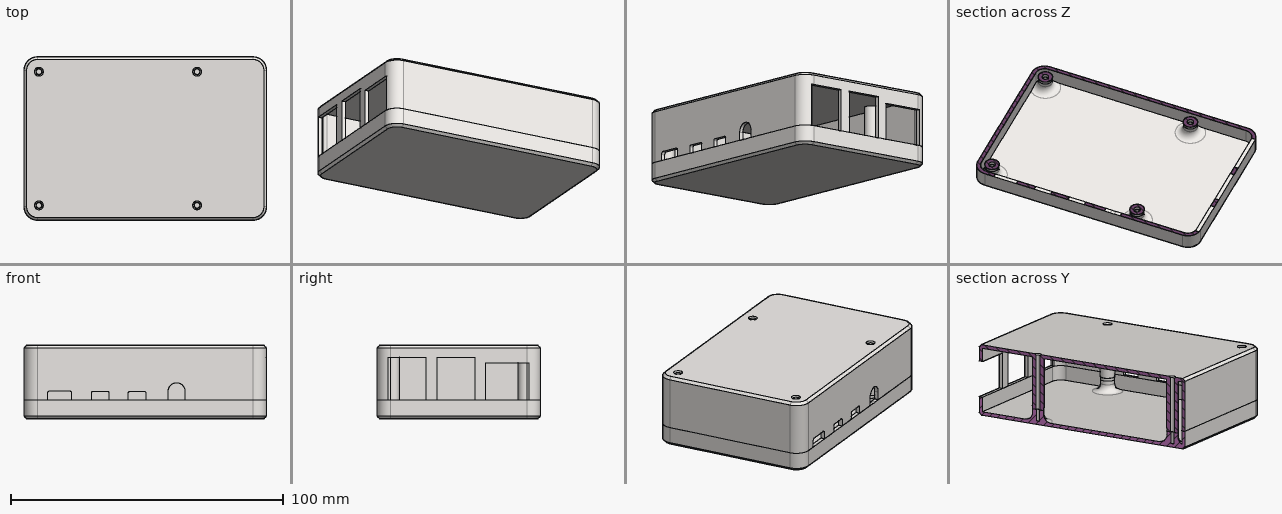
import math

import cadquery as cq

length = 89.0
width = 60.0
height = 27.0
wall = 1.5
corner_radius = 5.0
edge_chamfer = 1.0
seam_z = 7.0

inner_length = length - 2 * wall
inner_width = width - 2 * wall
inner_radius = corner_radius - wall
inner_left_x = -inner_length / 2
inner_front_y = -inner_width / 2

base_pillar_diameter = 5.2
base_pillar_top_z = 5.9
base_hole_diameter = 2.0
flare_radius = 3.0
lid_pillar_diameter = 5.45
lid_neck_diameter = 5.2
lid_hole_diameter = 2.25
countersink_diameter = 3.25
countersink_angle = 90.0
hole_inset = 4.0
hole_pitch_x = 58.0
hole_pitch_y = 49.0
hole_left_x = inner_left_x + hole_inset
hole_points = [
    (x, y)
    for x in (hole_left_x, hole_left_x + hole_pitch_x)
    for y in (-hole_pitch_y / 2, hole_pitch_y / 2)
]

front_ports = [
    (11.6, 8.9, 3.3, 1.0),
    (26.5, 6.5, 3.0, 0.5),
    (40.0, 6.5, 3.0, 0.5),
]

jack_offset = 54.5
jack_diameter = 6.3
jack_axis_rise = 3.05
jack_axis_z = seam_z + jack_axis_rise
jack_x = inner_left_x + jack_offset

end_ports = [
    (9.5, 14.0, 15.5),
    (27.5, 14.0, 15.5),
    (46.25, 16.0, 13.5),
]


def rounded_block(size_x, size_y, radius, bottom_z, top_z):
    """Upright block with rounded vertical corners, centred on the Z axis."""
    block = cq.Workplane("XY").workplane(offset=bottom_z).rect(size_x, size_y).extrude(top_z - bottom_z)
    return block.edges("|Z").fillet(radius)


def cylinders(diameter, bottom_z, top_z):
    """One upright cylinder at each screw position."""
    plane = cq.Workplane("XY").workplane(offset=bottom_z).pushPoints(hole_points)
    return plane.circle(diameter / 2).extrude(top_z - bottom_z)


def front_port(offset, port_width, port_height, radius):
    """Cutter through the -Y wall, flat at the seam and rounded at its top corners."""
    cutter = cq.Workplane("XY").box(port_width, 2 * wall, port_height, centered=(True, True, False))
    cutter = cutter.edges("|Y and >Z").fillet(radius)
    return cutter.translate((inner_left_x + offset, -width / 2, seam_z))


def jack_bore():
    """Round bore through the -Y wall for the audio jack."""
    plane = cq.Workplane("XZ", origin=(jack_x, -width / 2 + wall, jack_axis_z))
    return plane.circle(jack_diameter / 2).extrude(wall)


def jack_slot():
    """Straight-sided opening between the jack bore's axis and the seam."""
    slot = cq.Workplane("XY").box(jack_diameter, wall, jack_axis_z - seam_z, centered=(True, False, False))
    return slot.translate((jack_x, -width / 2, seam_z))


def base_pillar(x, y):
    """Pillar on the floor with a concave flare at its foot."""
    radius = base_pillar_diameter / 2
    rim = radius + flare_radius
    flare_mid = flare_radius * (1 - math.sqrt(0.5))
    profile = (
        cq.Workplane("XZ")
        .moveTo(0, wall)
        .lineTo(rim, wall)
        .threePointArc((radius + flare_mid, wall + flare_mid), (radius, wall + flare_radius))
        .lineTo(radius, base_pillar_top_z)
        .lineTo(0, base_pillar_top_z)
        .close()
    )
    return profile.revolve(360, (0, 0), (0, 1)).translate((x, y, 0))


def end_port(offset, port_width, port_height):
    """Rectangular cutter through the +X wall, standing on the seam."""
    cutter = cq.Workplane("XY").box(2 * wall, port_width, port_height, centered=(True, True, False))
    return cutter.translate((length / 2, inner_front_y + offset, seam_z))


def make_base():
    """Shallow tray with four flared pillars, each with a blind screw hole."""
    tray = rounded_block(length, width, corner_radius, 0, seam_z).faces("<Z").chamfer(edge_chamfer)
    cavity = rounded_block(inner_length, inner_width, inner_radius, wall, seam_z)
    tray = tray.cut(cavity).cut(jack_bore())
    for x, y in hole_points:
        tray = tray.union(base_pillar(x, y).intersect(cavity))
    return tray.cut(cylinders(base_hole_diameter, wall, base_pillar_top_z))


def make_lid():
    """Deep cover with four hollow pillars that stand on the base pillars."""
    cover = rounded_block(length, width, corner_radius, seam_z, height).faces(">Z").chamfer(edge_chamfer)
    cover = cover.cut(rounded_block(inner_length, inner_width, inner_radius, seam_z, height - wall))
    cover = cover.cut(jack_bore()).cut(jack_slot())
    for port in front_ports:
        cover = cover.cut(front_port(*port))
    for port in end_ports:
        cover = cover.cut(end_port(*port))
    cover = cover.union(cylinders(lid_pillar_diameter, seam_z, height - wall))
    cover = cover.union(cylinders(lid_neck_diameter, base_pillar_top_z, seam_z))
    top = cover.faces(">Z").workplane(origin=(0, 0, height)).pushPoints(hole_points)
    return top.cskHole(lid_hole_diameter, countersink_diameter, countersink_angle)


base = make_base().solids()
lid = make_lid().solids()
result = cq.Compound.makeCompound([base.val(), lid.val()])